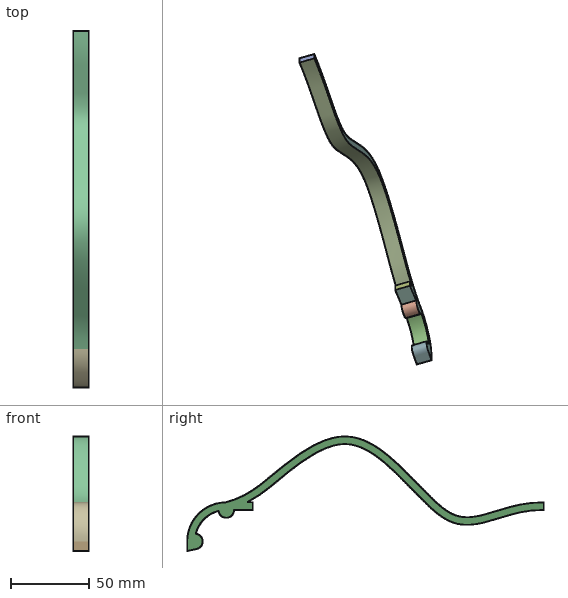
import cadquery as cq
import math

width = 10.0
thickness = 5.0
mid_z = -thickness / 2

handle_length = 202.48
handle_bends = [(35.8, 19.4), (75.0, 39.5), (127.5, 2.5), (148.3, -11.5), (175.2, -7.3)]
joint_slope_angle = math.radians(14.3)

hook_outer_radius = 25.0
hook_inner_radius = hook_outer_radius - thickness
hook_center_z = -hook_outer_radius

tab_length = 17.0
bead_radius = 5.0
foot_drop = 6.22


def sketch():
    """Workplane on the YZ plane at the -X face, so that full-width extrusions are centred on X = 0."""
    return cq.Workplane("YZ", origin=(-width / 2, 0, 0))


def make_handle():
    """Wavy strip of constant thickness following a spline from the joint to the free end."""
    path_points = [(0, mid_z)] + handle_bends + [(handle_length, mid_z)]
    joint_tangent = (math.cos(joint_slope_angle), math.sin(joint_slope_angle))
    end_tangent = (1, 0)
    path = cq.Workplane("YZ").spline(path_points, tangents=[joint_tangent, end_tangent])
    start_plane = cq.Plane(origin=(0, 0, mid_z), xDir=(1, 0, 0), normal=(0, *joint_tangent))
    return cq.Workplane(start_plane).rect(width, thickness).sweep(path)


def make_hook():
    """Quarter ring that turns down from the joint toward -Y."""
    diagonal = math.sqrt(0.5)
    outer_mid = (-hook_outer_radius * diagonal, hook_center_z + hook_outer_radius * diagonal)
    inner_mid = (-hook_inner_radius * diagonal, hook_center_z + hook_inner_radius * diagonal)
    return (
        sketch()
        .moveTo(0, 0)
        .threePointArc(outer_mid, (-hook_outer_radius, hook_center_z))
        .lineTo(-hook_inner_radius, hook_center_z)
        .threePointArc(inner_mid, (0, -thickness))
        .close()
        .extrude(width)
    )


def make_tab():
    """Straight tab continuing the top of the hook underneath the handle."""
    return sketch().rect(tab_length, -thickness, centered=False).extrude(width)


def make_bead(y, z):
    """Round bead across the full width."""
    return sketch().center(y, z).circle(bead_radius).extrude(width)


def make_foot():
    """Wedge under the hook tip, its lower side tangent to the tip bead."""
    corner = (-hook_outer_radius, hook_center_z - foot_drop)
    bead_offset = -hook_inner_radius - corner[0]
    corner_to_bead = math.hypot(bead_offset, foot_drop)
    slope = math.atan2(foot_drop, bead_offset) - math.asin(bead_radius / corner_to_bead)
    tangent_point = (
        -hook_inner_radius + bead_radius * math.sin(slope),
        hook_center_z - bead_radius * math.cos(slope),
    )
    return (
        sketch()
        .moveTo(-hook_outer_radius, hook_center_z)
        .lineTo(*corner)
        .lineTo(*tangent_point)
        .lineTo(-hook_inner_radius, hook_center_z)
        .close()
        .extrude(width)
    )


joint_bead = make_bead(0, -thickness)
tip_bead = make_bead(-hook_inner_radius, hook_center_z)

result = make_handle().union(make_hook()).union(make_tab()).union(joint_bead)
result = result.union(tip_bead).union(make_foot())